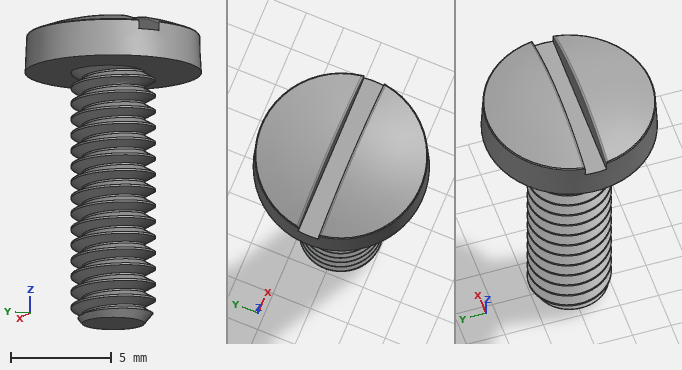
import cadquery as cq
import math

head_base_diameter = 8.73
head_base_radius = head_base_diameter / 2
head_bottom_z = 12.68

dome_apex_z = 15.37
rim_radius = 4.28
rim_z = 14.52
rim_bevel_drop = 0.03
cap_margin = 0.15

slot_width = 1.09
slot_floor_z = 14.06
slot_edge_radius = 0.09

pitch = 0.794
major_radius = 2.09
root_radius = 1.57
crest_flat = pitch / 8
flank_half_angle = math.radians(30)
first_crest_z = 0.65
ridge_overlap = 0.03
head_overlap = 0.15

tip_radius = 1.54
tip_height = 0.66


def make_slotted_dome():
    """Oversize cap carrying the dome, with the slot cut across it and its lips rounded."""
    cap_radius = head_base_radius + cap_margin
    cap_bottom_z = head_bottom_z - cap_margin
    rise = dome_apex_z - rim_z
    dome_radius = (rim_radius**2 + rise**2) / (2 * rise)
    half_angle = math.asin(cap_radius / dome_radius)
    drop_mid = dome_radius * (1 - math.cos(half_angle / 2))
    drop_end = dome_radius * (1 - math.cos(half_angle))
    cap = (
        cq.Workplane("XZ")
        .moveTo(0, cap_bottom_z)
        .lineTo(cap_radius, cap_bottom_z)
        .lineTo(cap_radius, dome_apex_z - drop_end)
        .threePointArc(
            (dome_radius * math.sin(half_angle / 2), dome_apex_z - drop_mid),
            (0, dome_apex_z),
        )
        .close()
        .revolve(360, (0, 0), (0, 1))
    )
    slot = (
        cq.Workplane("XY")
        .workplane(offset=slot_floor_z)
        .rect(3 * cap_radius, slot_width)
        .extrude(2 * (dome_apex_z - slot_floor_z))
    )
    slot_walls = cap.cut(slot).faces("|Y")
    return slot_walls.edges("%CIRCLE").fillet(slot_edge_radius)


def make_head():
    """Round head: drafted side wall and 45 degree rim bevel under the slotted dome."""
    bevel_z = rim_z - rim_bevel_drop
    bevel_apex_z = bevel_z + rim_radius
    blank = (
        cq.Workplane("XZ")
        .polyline([
            (0, head_bottom_z),
            (head_base_radius, head_bottom_z),
            (rim_radius, bevel_z),
            (0, bevel_apex_z),
        ])
        .close()
        .revolve(360, (0, 0), (0, 1))
    )
    return blank.intersect(make_slotted_dome())


def make_thread_ridge(height):
    """Helical ridge starting two turns below the first crest on +X."""
    start_z = first_crest_z - 2 * pitch
    inner_radius = root_radius - ridge_overlap
    crest_half = crest_flat / 2
    base_half = crest_half + (major_radius - inner_radius) * math.tan(flank_half_angle)
    helix = cq.Wire.makeHelix(pitch, height - start_z + pitch, root_radius)
    profile = cq.Workplane("XZ").polyline([
        (inner_radius, -base_half),
        (major_radius, -crest_half),
        (major_radius, crest_half),
        (inner_radius, base_half),
    ]).close()
    return profile.sweep(cq.Workplane(helix), isFrenet=True).translate((0, 0, start_z))


def make_shank():
    """Threaded shank, trimmed by the tapered tip and ending inside the head."""
    top_z = head_bottom_z + head_overlap
    envelope_radius = major_radius + head_overlap
    envelope_shoulder_z = tip_height * (envelope_radius - tip_radius) / (major_radius - tip_radius)
    envelope = (
        cq.Workplane("XZ")
        .polyline([
            (0, 0),
            (tip_radius, 0),
            (envelope_radius, envelope_shoulder_z),
            (envelope_radius, top_z),
            (0, top_z),
        ])
        .close()
        .revolve(360, (0, 0), (0, 1))
    )
    core_bottom_z = first_crest_z - 3 * pitch
    core = (
        cq.Workplane("XY")
        .workplane(offset=core_bottom_z)
        .circle(root_radius)
        .extrude(top_z + 2 * pitch - core_bottom_z)
    )
    return core.union(make_thread_ridge(top_z)).intersect(envelope)


result = make_head().union(make_shank())